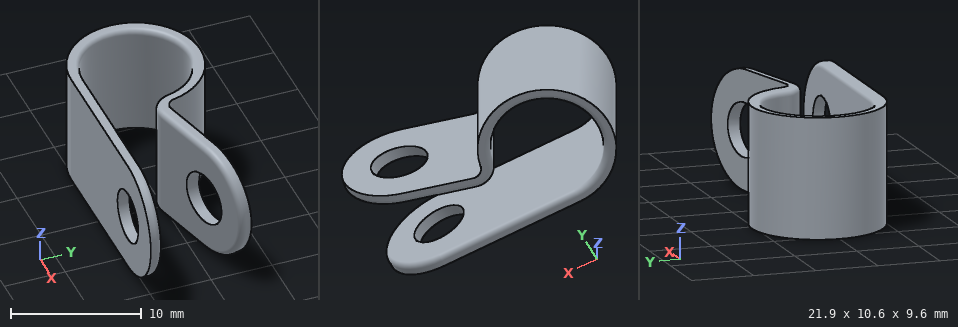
import cadquery as cq
import math

strap_thickness = 0.99
strap_width = 9.6
ring_radius = 5.3
overall_length = 21.9
hole_diameter = 4.31
bend_radius = 0.83
bend_start_angle = 12.0
arm_angle = 15.0
arm_straight_length = 5.52
edge_fillet = 0.48

end_radius = strap_width / 2
bore_radius = ring_radius - strap_thickness
tab_hole_x = overall_length - ring_radius - end_radius
bend_outer_radius = bend_radius + strap_thickness


def polar(radius, angle, center=(0, 0)):
    """Point at a radius and an angle in degrees around a center."""
    turn = math.radians(angle)
    return (center[0] + radius * math.cos(turn), center[1] + radius * math.sin(turn))


bend_center = polar(ring_radius + bend_radius, bend_start_angle)
bend_end_angle = arm_angle - 90
bend_first_angle = bend_start_angle + 180 - 360
bend_middle_angle = (bend_first_angle + bend_end_angle) / 2
loop_middle_angle = (bend_start_angle + 270) / 2

arm_start = polar(bend_radius, bend_end_angle, bend_center)
arm_round_center = polar(arm_straight_length, arm_angle, arm_start)


def end_plane(origin, angle):
    """Plane facing across the strap, with local X along it and local Y along Z."""
    along = polar(1, angle)
    normal = polar(1, angle - 90)
    return cq.Plane(origin=(*origin, 0), xDir=(*along, 0), normal=(*normal, 0))


def straight_strap(origin, angle, length):
    """Flat strap with a rounded far end; origin is where that end's arc is centered."""
    return (
        cq.Workplane(end_plane(origin, angle))
        .moveTo(-length, -end_radius)
        .lineTo(0, -end_radius)
        .threePointArc((end_radius, 0), (0, end_radius))
        .lineTo(-length, end_radius)
        .close()
        .extrude(strap_thickness)
    )


def curved_strap():
    """Loop and bend, from the start of the tab to the start of the arm."""
    return (
        cq.Workplane("XY", origin=(0, 0, -strap_width / 2))
        .moveTo(0, -ring_radius)
        .threePointArc(polar(ring_radius, loop_middle_angle), polar(ring_radius, bend_start_angle))
        .threePointArc(polar(bend_radius, bend_middle_angle, bend_center), arm_start)
        .lineTo(*polar(bend_outer_radius, bend_end_angle, bend_center))
        .threePointArc(
            polar(bend_outer_radius, bend_middle_angle, bend_center),
            polar(bore_radius, bend_start_angle),
        )
        .threePointArc(polar(bore_radius, loop_middle_angle), (0, -bore_radius))
        .close()
        .extrude(strap_width)
    )


tab = straight_strap((tab_hole_x, -bore_radius), 0, tab_hole_x)
arm = straight_strap(arm_round_center, arm_angle, arm_straight_length)
strap = curved_strap().union(tab).union(arm)

tab_tip = (tab_hole_x + end_radius, -bore_radius, 0)
strap = strap.edges(cq.selectors.NearestToPointSelector(tab_tip)).fillet(edge_fillet)

fastener_hole = (
    cq.Workplane("XZ", origin=(tab_hole_x, 0, 0))
    .circle(hole_diameter / 2)
    .extrude(ring_radius, both=True)
)

result = strap.cut(fastener_hole)